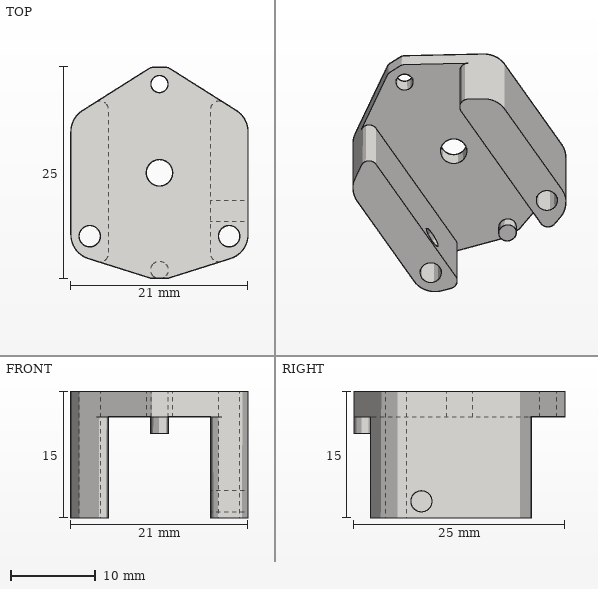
import cadquery as cq

width = 21.0
length = 25.0
height = 15.0
half_width = width / 2
half_length = length / 2

plate_thickness = 3.0
tip_width = 2.0
front_shoulder_y = -9.5
back_shoulder_y = 6.5
shoulder_radius = 3.0
tip_radius = 1.0

channel_width = 12.1
leg_edge_radius = 1.0
leg_height = height - plate_thickness

center_hole_diameter = 3.1
back_hole_diameter = 2.0
back_hole_y = 10.5
leg_hole_diameter = 2.5
leg_hole_x = 8.25
leg_hole_y = -7.5

pin_width = 2.1
pin_depth = 2.0
pin_length = 2.0
pin_y = -half_length + pin_depth / 2

cross_hole_diameter = 2.5
cross_hole_y = -4.5
cross_hole_z = 2.0


def make_body():
    """Full-height block with the plate outline and rounded corners."""
    half_tip = tip_width / 2
    right_side = [
        (half_tip, -half_length),
        (half_width, front_shoulder_y),
        (half_width, back_shoulder_y),
        (half_tip, half_length),
    ]
    left_side = [(-x, y) for x, y in reversed(right_side)]
    body = cq.Workplane("XY").polyline(right_side + left_side).close().extrude(height)
    shoulder_edges = cq.selectors.BoxSelector(
        (-width, front_shoulder_y - tip_radius, 0),
        (width, back_shoulder_y + tip_radius, height),
    )
    body = body.edges("|Z").edges(shoulder_edges).fillet(shoulder_radius)
    for tip_face in ("<Y", ">Y"):
        body = body.faces(tip_face).edges("|Z").fillet(tip_radius)
    return body


def make_channel():
    """Clearance between the legs, open at both ends and at the bottom."""
    return cq.Workplane("XY").box(channel_width, length, leg_height, centered=(True, True, False))


def make_legs(body):
    """Legs beside the channel, with their inner vertical edges rounded."""
    lower_body = body.intersect(
        cq.Workplane("XY").box(width, length, leg_height, centered=(True, True, False))
    )
    legs = lower_body.cut(make_channel())
    half_channel = channel_width / 2
    inner_edges = cq.selectors.BoxSelector(
        (-half_channel - leg_edge_radius / 2, -length, 0),
        (half_channel + leg_edge_radius / 2, length, leg_height),
    )
    return legs.edges("|Z").edges(inner_edges).fillet(leg_edge_radius)


def make_plate(body):
    """Top plate with the full outline."""
    top_slab = (
        cq.Workplane("XY")
        .workplane(offset=leg_height)
        .box(width, length, plate_thickness, centered=(True, True, False))
    )
    return body.intersect(top_slab)


def make_pin():
    """Oblong locating pin below the front tip of the plate."""
    return (
        cq.Workplane("XY")
        .workplane(offset=leg_height)
        .center(0, pin_y)
        .slot2D(pin_width, pin_depth)
        .extrude(-pin_length)
    )


def vertical_hole(x, y, diameter):
    """Cutter for a hole through the full height."""
    return cq.Workplane("XY").center(x, y).circle(diameter / 2).extrude(height)


def make_cross_hole():
    """Cutter along X that passes through the +X leg only."""
    return (
        cq.Workplane("YZ")
        .center(cross_hole_y, cross_hole_z)
        .circle(cross_hole_diameter / 2)
        .extrude(half_width)
    )


block = make_body()
result = make_plate(block).union(make_legs(block)).union(make_pin())

holes = [
    (0, 0, center_hole_diameter),
    (0, back_hole_y, back_hole_diameter),
    (leg_hole_x, leg_hole_y, leg_hole_diameter),
    (-leg_hole_x, leg_hole_y, leg_hole_diameter),
]
for hole_x, hole_y, hole_diameter in holes:
    result = result.cut(vertical_hole(hole_x, hole_y, hole_diameter))
result = result.cut(make_cross_hole())